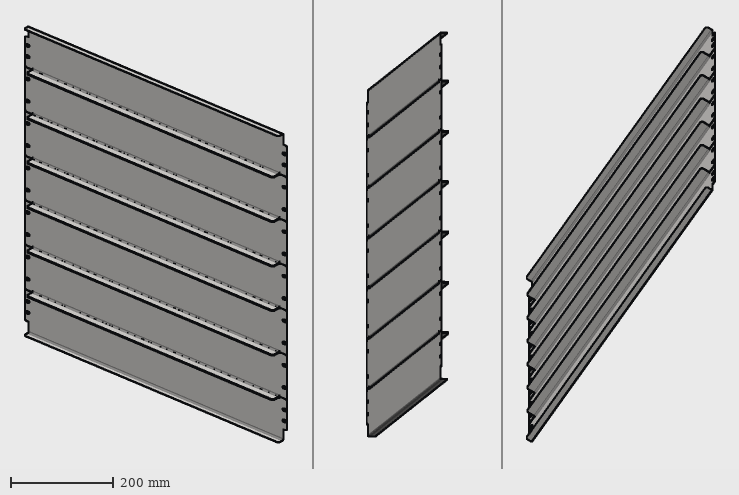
import cadquery as cq

total_height = 690.0
panel_width = 676.0
panel_pitch = 100.0
middle_count = 5
end_height = (total_height - middle_count * panel_pitch) / 2

sheet_thickness = 1.5
bend_inner_radius = 1.5
bend_outer_radius = bend_inner_radius + sheet_thickness
joint_flange_depth = 20.0
joint_flange_inset = 20.0
rim_flange_depth = 15.0
flange_corner_radius = 5.0

side_corner_radius = 5.0
notch_width = 10.0
notch_height = 25.0

slot_length = 9.0
slot_height = 5.5
slot_edge_distance = 7.0
slot_joint_distance = panel_pitch / 4
slot_x = panel_width / 2 - slot_edge_distance

rim_width = panel_width - 2 * notch_width
joint_flange_width = panel_width - 2 * joint_flange_inset


def box(width, y_min, y_max, z_min, z_max):
    """Block centred on X."""
    return cq.Workplane("XY").box(width, y_max - y_min, z_max - z_min).translate(
        (0, (y_min + y_max) / 2, (z_min + z_max) / 2)
    )


def flange_strip(width, depth):
    """Bend and flange whose outer face lies at Z = 0; the sheet's back lies at Y = 0."""
    profile = (
        cq.Workplane("YZ", origin=(-width / 2, 0, 0))
        .moveTo(0, -bend_outer_radius)
        .radiusArc((-bend_outer_radius, 0), -bend_outer_radius)
        .lineTo(-depth, 0)
        .lineTo(-depth, -sheet_thickness)
        .lineTo(-bend_outer_radius, -sheet_thickness)
        .radiusArc((-sheet_thickness, -bend_outer_radius), bend_inner_radius)
        .close()
    )
    return profile.extrude(width).faces("<Y").edges("|Z").fillet(flange_corner_radius)


def slots(heights):
    """Cutters for the slots at the given heights on both side edges."""
    places = [(side * slot_x, z) for side in (-1, 1) for z in heights]
    return (
        cq.Workplane("XZ")
        .pushPoints(places)
        .slot2D(slot_length, slot_height)
        .extrude(sheet_thickness)
    )


def sheet(z_min, z_max):
    """Flat sheet with rounded corners."""
    flat = box(panel_width, -sheet_thickness, 0, z_min, z_max)
    return flat.edges("|Y").fillet(side_corner_radius)


def middle_panel():
    """Panel rising from Z = 0, with a joint flange along its lower and upper edges."""
    bend_start = panel_pitch - bend_outer_radius
    flat = sheet(0, panel_pitch)
    for z_min, z_max in ((0, bend_outer_radius), (bend_start, panel_pitch)):
        flat = flat.cut(box(joint_flange_width, -sheet_thickness, 0, z_min, z_max))
    upper = flange_strip(joint_flange_width, joint_flange_depth)
    lower = upper.mirror("XY")
    panel = flat.union(upper.translate((0, 0, panel_pitch))).union(lower)
    return panel.cut(slots((slot_joint_distance, panel_pitch - slot_joint_distance)))


def end_panel():
    """Panel rising from a joint edge at Z = 0 to a rim flange on top."""
    shoulder = end_height - notch_height
    bend_start = end_height - bend_outer_radius
    flat = sheet(0, shoulder)
    flat = flat.union(box(rim_width, -sheet_thickness, 0, shoulder, bend_start))
    flat = flat.cut(box(joint_flange_width, -sheet_thickness, 0, 0, bend_outer_radius))
    rim = flange_strip(rim_width, rim_flange_depth).translate((0, 0, end_height))
    joint = flange_strip(joint_flange_width, joint_flange_depth).mirror("XY")
    panel = flat.union(rim).union(joint)
    return panel.cut(slots((slot_joint_distance, 2 * slot_joint_distance)))


middle_stack_half = middle_count * panel_pitch / 2
upper_end = end_panel().translate((0, 0, middle_stack_half))
lower_end = upper_end.mirror("XY")
middle_panels = [
    middle_panel().translate((0, 0, index * panel_pitch - middle_stack_half))
    for index in range(middle_count)
]

result = cq.Compound.makeCompound(
    [lower_end.val(), *[panel.val() for panel in middle_panels], upper_end.val()]
)